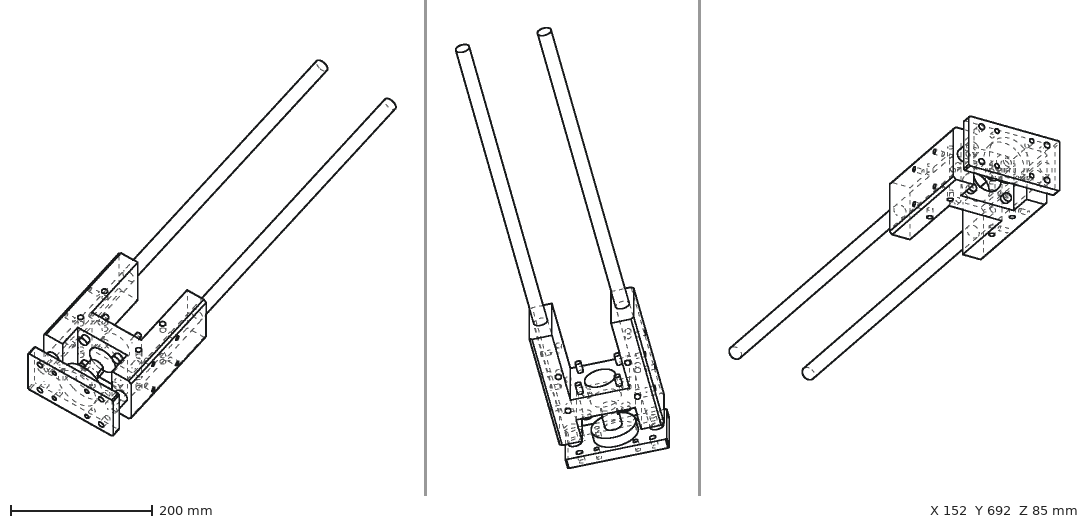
import cadquery as cq
import math


total_length = 692.0

housing_width = 152.0
housing_height = 85.0
housing_front = 41.0
housing_length = 182.0
housing_chamfer = 4.0
arm_inner_x = 43.0
crossbar_front = 77.5
crossbar_thickness = 34.0
crossbar_bore_diameter = 45.0

top_hole_diameter = 8.0
side_hole_diameter = 6.8
mount_hole_depth = 14.0
drill_point_angle = 118.0
mount_hole_x = 50.5
mount_hole_z = 28.5
mount_hole_first_y = 95.0
mount_hole_pitch_y = 58.0

screw_offset = 28.5
screw_head_diameter = 13.0
screw_head_height = 7.5
screw_shank_diameter = 8.0
screw_overhang = 15.0

plate_width = 148.0
plate_height = 81.0
plate_thickness = 15.0
plate_chamfer = 2.0
outer_plate_hole_x = 53.0
outer_plate_hole_diameter = 9.0
inner_plate_hole_diameter = 6.8
rod_x = 59.5
rod_diameter = 20.0
flange_diameter = 65.0
flange_thickness = 15.0
stud_diameter = 25.0
stud_length = 33.0
stud_width_across_flats = 22.0
stud_flat_length = 13.0


def cylinder_along_y(x, z, diameter, start_y, length):
    """Cylinder that runs backwards (+Y) from start_y."""
    return cq.Workplane(
        cq.Solid.makeCylinder(diameter / 2, length, cq.Vector(x, start_y, z), cq.Vector(0, 1, 0))
    )


def block(width, length, height, front_y):
    """Box centred on X = 0 and Z = 0 with its front face at front_y."""
    return (
        cq.Workplane("XY")
        .box(width, length, height, centered=(True, False, True))
        .translate((0, front_y, 0))
    )


def flat_hole(diameter, position, direction):
    """Flat-bottomed blind hole cutter that starts on an outer face and runs inwards."""
    return cq.Workplane(
        cq.Solid.makeCylinder(
            diameter / 2, mount_hole_depth, cq.Vector(*position), cq.Vector(*direction)
        )
    )


def drilled_hole(diameter, position, direction):
    """Blind hole cutter that ends in a conical drill point."""
    point_length = diameter / 2 / math.tan(math.radians(drill_point_angle / 2))
    inwards = cq.Vector(*direction)
    point_start = cq.Vector(*position) + inwards * mount_hole_depth
    point = cq.Solid.makeCone(diameter / 2, 0, point_length, point_start, inwards)
    return flat_hole(diameter, position, direction).union(cq.Workplane(point))


def make_crossbar_screw(x, z):
    """Cylindrical-head screw through the crossbar, its tip standing out at the back."""
    head = cylinder_along_y(
        x, z, screw_head_diameter, crossbar_front - screw_head_height, screw_head_height
    )
    shank = cylinder_along_y(
        x, z, screw_shank_diameter, crossbar_front, crossbar_thickness + screw_overhang
    )
    return head.union(shank)


def make_housing():
    crossbar_back = crossbar_front + crossbar_thickness
    housing_back = housing_front + housing_length
    body = block(housing_width, housing_length, housing_height, housing_front)
    body = body.edges("|Y").chamfer(housing_chamfer)

    gap_width = 2 * arm_inner_x
    body = body.cut(block(gap_width, crossbar_front - housing_front, housing_height, housing_front))
    body = body.cut(block(gap_width, housing_back - crossbar_back, housing_height, crossbar_back))

    body = body.cut(
        cylinder_along_y(0, 0, crossbar_bore_diameter, crossbar_front, crossbar_thickness)
    )
    for side in (-1, 1):
        body = body.cut(
            cylinder_along_y(side * rod_x, 0, rod_diameter, housing_front, housing_length)
        )

    for y in (mount_hole_first_y, mount_hole_first_y + mount_hole_pitch_y):
        for side_x in (-1, 1):
            for side_z in (-1, 1):
                on_flat = (side_x * mount_hole_x, y, side_z * housing_height / 2)
                on_side = (side_x * housing_width / 2, y, side_z * mount_hole_z)
                body = body.cut(flat_hole(top_hole_diameter, on_flat, (0, 0, -side_z)))
                body = body.cut(drilled_hole(side_hole_diameter, on_side, (-side_x, 0, 0)))

    for side_x in (-1, 1):
        for side_z in (-1, 1):
            body = body.union(make_crossbar_screw(side_x * screw_offset, side_z * screw_offset))
    return body


def make_stud(start_y):
    """Round stud with two flats facing -X and +X at its free end."""
    stud = cylinder_along_y(0, 0, stud_diameter, start_y, stud_length)
    flats_start = start_y + stud_length - stud_flat_length
    tip_space = block(stud_diameter, stud_flat_length, stud_diameter, flats_start)
    kept_tip = block(stud_width_across_flats, stud_flat_length, stud_diameter, flats_start)
    return stud.cut(tip_space.cut(kept_tip))


def make_carriage():
    plate = block(plate_width, plate_thickness, plate_height, 0)
    plate = plate.edges("|Y").chamfer(plate_chamfer)

    body = plate.union(cylinder_along_y(0, 0, flange_diameter, plate_thickness, flange_thickness))
    body = body.union(make_stud(plate_thickness + flange_thickness))

    for side in (-1, 1):
        body = body.union(
            cylinder_along_y(
                side * rod_x, 0, rod_diameter, plate_thickness, total_length - plate_thickness
            )
        )

    for side_x in (-1, 1):
        for side_z in (-1, 1):
            z = side_z * screw_offset
            for x, diameter in (
                (screw_offset, inner_plate_hole_diameter),
                (outer_plate_hole_x, outer_plate_hole_diameter),
            ):
                body = body.cut(cylinder_along_y(side_x * x, z, diameter, 0, plate_thickness))
    return body


housing = make_housing()
carriage = make_carriage()

result = cq.Compound.makeCompound([housing.val(), carriage.val()])